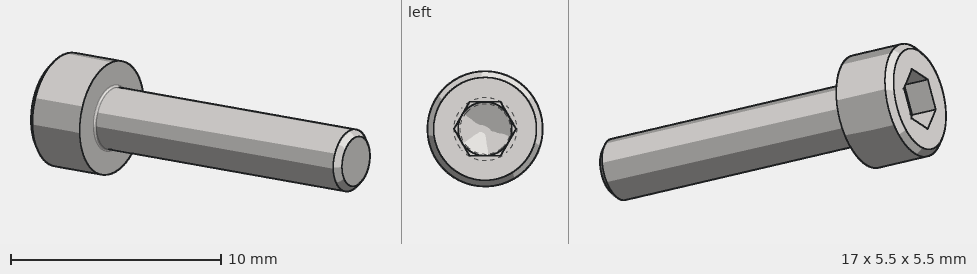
import cadquery as cq
import math

head_diameter = 5.5
head_height = 3.0
head_chamfer = 0.3

shank_diameter = 3.0
shank_length = 14.0
tip_chamfer = 0.3
neck_fillet = 0.1

socket_across_flats = 2.56
socket_depth = 1.3
socket_cone_angle = 120.0

head_radius = head_diameter / 2
shank_radius = shank_diameter / 2
socket_inradius = socket_across_flats / 2
socket_across_corners = socket_across_flats / math.cos(math.pi / 6)
cone_depth = socket_inradius / math.tan(math.radians(socket_cone_angle / 2))


def revolve_about_x(profile):
    """Revolve a closed XY half-profile a full turn about the X axis."""
    return profile.close().revolve(360, (0, 0, 0), (1, 0, 0))


def make_body():
    """Head and shank as one turned shape, with the fillet under the head."""
    fillet_mid_offset = neck_fillet * (1 - math.sqrt(0.5))
    profile = (
        cq.Workplane("XY")
        .moveTo(-head_height, 0)
        .lineTo(-head_height, head_radius - head_chamfer)
        .lineTo(-head_height + head_chamfer, head_radius)
        .lineTo(0, head_radius)
        .lineTo(0, shank_radius + neck_fillet)
        .threePointArc(
            (fillet_mid_offset, shank_radius + fillet_mid_offset),
            (neck_fillet, shank_radius),
        )
        .lineTo(shank_length - tip_chamfer, shank_radius)
        .lineTo(shank_length, shank_radius - tip_chamfer)
        .lineTo(shank_length, 0)
    )
    return revolve_about_x(profile)


def make_socket():
    """Hexagonal socket with two flats facing +Z and -Z, ending in a drilled cone."""
    hexagon = (
        cq.Workplane("YZ", origin=(-head_height, 0, 0))
        .polygon(6, socket_across_corners)
        .extrude(socket_depth)
    )
    floor_x = -head_height + socket_depth
    cone = revolve_about_x(
        cq.Workplane("XY")
        .moveTo(floor_x, 0)
        .lineTo(floor_x, socket_inradius)
        .lineTo(floor_x + cone_depth, 0)
    )
    return hexagon.union(cone)


result = make_body().cut(make_socket())